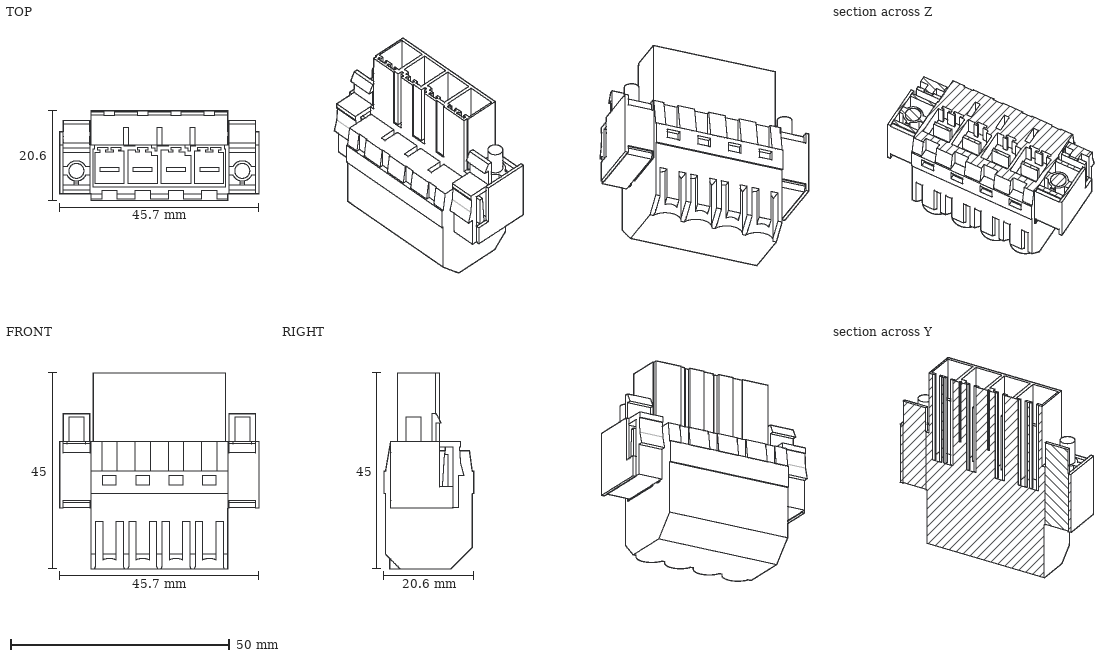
import cadquery as cq
POLE_PITCH = 7.65
POLE_X = [(i - 1.5) * POLE_PITCH for i in range(4)]

HOUSING_WIDTH = 31.45
BODY_HALF_DEPTH = 9.95
BAND_HALF_DEPTH = 20.6 / 2
BAND_BOTTOM = 17.35
SHELF_Z = 22.5
DECK_Z = 29.3
REAR_DECK_Z = 27.2
FRONT_TOP_Y = -8.8
REAR_TOP_Y = 9.33
SHROUD_BACK = 2.45
REAR_CHAMFER = 4.95
FRONT_CHAMFER = 3.45

FRONT_NOTCH_WIDTH = 3.5
FRONT_NOTCH_Y = -8.0
REAR_NOTCH_WIDTH = 2.4
REAR_NOTCH_Y = 9.15
WINDOW_WIDTH = 3.1
WINDOW_BOTTOM = 19.25
WINDOW_TOP = 21.45
WINDOW_DEPTH = 1.1
DECK_SLOT_WIDTH = 1.2
DECK_SLOT_BACK = 6.45

SLEEVE_RADIUS = 3.65
SLEEVE_Y = -5.35
FLUTE_TOP = 10.95
FLUTE_INNER = 1.5
FLUTE_OUTER = 3.2

SHROUD_HALF_WIDTH = 15.2
SHROUD_FRONT = -7.22
SHROUD_TOP = 45.0
CORNER_STEP = 0.27
CORNER_STEP_Y = 1.5
CAVITY_FRONT = -6.45
LIP_Y = 0.82
END_LEFT_BACK = 0.75
KEYWAY_FRONT = END_LEFT_BACK
KEYWAY_NECK_TOP = 1.33
KEYWAY_TOP = 1.85
KEYWAY_HEAD_WIDTH = 2.4
END_NECK_WIDTH = 1.25
END_KEYWAY_OFFSET = 1.5
END_CAVITY_LEFT = 3.3
END_CAVITY_RIGHT = 3.4
END_RIGHT_BACK = 1.0
MIDDLE_NECK_WIDTH = 1.35
MIDDLE_CAVITY_HALF_WIDTH = 3.45
LOW_CORNER_BACK = 0.05
LOW_CORNER_OFFSET = 2.0
DEEP_CORNER_OFFSET = 1.7
CODING_NOTCH_WIDTH = 1.3
CODING_NOTCH_Y = 1.7
CODING_LEG_WIDTH = 0.5
CODING_LEG_Y = 1.0
GROOVE_Y = 2.15
GROOVES = [(-8.1, -5.6), (-0.55, 2.1), (7.1, 8.28)]

CONTACT_WIDTH = 4.35
CONTACT_THICKNESS = 0.82
CONTACT_Y = -3.2
CONTACT_BOTTOM = 13.7
CONTACT_TOP = 36.58

EAR_OUTER_X = -22.85
EAR_WALL_INNER_X = -22.1
EAR_INNER_X = -15.95
EAR_CENTER_X = (EAR_WALL_INNER_X + EAR_INNER_X) / 2
EAR_BOTTOM = 14.0
EAR_FRONT = FRONT_TOP_Y
EAR_BACK = 5.5
EAR_FRONT_WALL_BACK = -7.85
EAR_LEDGE_Z = 18.95
EAR_FRONT_TOP = 26.7
EAR_FRONT_BOTTOM = 15.77
TIE_FRONT = 4.4

INSERT_BOTTOM = 14.15
INSERT_FRONT_TOP = 28.8
FOOT_FRONT = -8.45
FOOT_CHAMFER_Z = 15.3
FOOT_CHAMFER_Y = -7.75
POCKET_FRONT = -6.75
TAB_FRONT = 0.75
TAB_BACK = 1.7
TAB_TOP = 35.65
TAB_HOOK_Y = 2.85
TAB_HOOK_Z = 33.45
ARM_TOP_Y = 7.25
ARM_NECK_Y = 7.05
ARM_FOOT_Y = 6.75
ARM_HOOK_Y = 8.05
ARM_HOOK_Z = 21.45
ARM_HOOK_TOP = 24.32
TOP_PLATE_BOTTOM = 28.0
LEVER_TOP_Y = 3.75
LEVER_FOOT_Y = 3.1
LEVER_WIDTH = 2.2
RIB_TOP = 26.3
RIB_TOP_Y = 3.55
BOSS_RADIUS = 2.35
BRACE_WIDTH = 1.9
SPUR_WIDTH = 1.0
SPUR_STEP_Y = -6.25
SPUR_FRONT_TOP = 26.7
SPUR_REAR_TOP = 27.45

SCREW_RADIUS = 3.45 / 2
SCREW_Y = -3.5
SCREW_TOP = 34.9


def box(x0, x1, y0, y1, z0, z1):
    """Box between opposite corners."""
    return cq.Workplane("XY").box(x1 - x0, y1 - y0, z1 - z0, centered=False).translate((x0, y0, z0))


def side_profile(points, x0, x1):
    """Closed (y, z) outline extruded from x0 to x1."""
    return cq.Workplane("YZ").workplane(offset=x0).polyline(points).close().extrude(x1 - x0)


def post(x, y, radius, z0, z1):
    """Vertical cylinder."""
    return cq.Workplane("XY").workplane(offset=z0).center(x, y).circle(radius).extrude(z1 - z0)


def mirrored(body):
    return body.mirror("YZ")


def centered_box(x, width, y0, y1, z0, z1):
    return box(x - width / 2, x + width / 2, y0, y1, z0, z1)


def housing_block():
    """Body with bottom chamfers, a proud band and tapered upper walls."""
    outline = [
        (-BODY_HALF_DEPTH + FRONT_CHAMFER, 0),
        (BODY_HALF_DEPTH - REAR_CHAMFER, 0),
        (BODY_HALF_DEPTH, REAR_CHAMFER),
        (BODY_HALF_DEPTH, BAND_BOTTOM),
        (BAND_HALF_DEPTH, BAND_BOTTOM),
        (BAND_HALF_DEPTH, SHELF_Z),
        (BODY_HALF_DEPTH, SHELF_Z),
        (REAR_TOP_Y, REAR_DECK_Z),
        (SHROUD_BACK, REAR_DECK_Z),
        (SHROUD_BACK, DECK_Z),
        (FRONT_TOP_Y, DECK_Z),
        (-BODY_HALF_DEPTH, SHELF_Z),
        (-BAND_HALF_DEPTH, SHELF_Z),
        (-BAND_HALF_DEPTH, BAND_BOTTOM),
        (-BODY_HALF_DEPTH, BAND_BOTTOM),
        (-BODY_HALF_DEPTH, FRONT_CHAMFER),
    ]
    return side_profile(outline, -HOUSING_WIDTH / 2, HOUSING_WIDTH / 2)


def shroud():
    """Tall socket block with stepped back corners and shallow grooves on its back."""
    w = SHROUD_HALF_WIDTH
    block = box(-w, w, SHROUD_FRONT, SHROUD_BACK, DECK_Z, SHROUD_TOP)
    for x in (-w, w):
        block = block.cut(
            centered_box(x, 2 * CORNER_STEP, CORNER_STEP_Y, SHROUD_BACK, DECK_Z, SHROUD_TOP)
        )
    for x0, x1 in GROOVES:
        block = block.cut(box(x0, x1, GROOVE_Y, SHROUD_BACK, DECK_Z, SHROUD_TOP))
    return block


def sunk_box(x0, x1, y0, y1):
    """Rectangular pocket from the shroud top down to the shelf level."""
    return box(x0, x1, y0, y1, SHELF_Z, SHROUD_TOP)


def keyway(x, neck_width):
    """T-shaped keyway in a socket's back wall: a narrow neck and a wider head."""
    half_neck = neck_width / 2
    half_head = KEYWAY_HEAD_WIDTH / 2
    neck = sunk_box(x - half_neck, x + half_neck, KEYWAY_FRONT, KEYWAY_NECK_TOP)
    head = sunk_box(x - half_head, x + half_head, KEYWAY_NECK_TOP, KEYWAY_TOP)
    return neck.union(head)


def end_cavity():
    """Socket of the -X pole: two keyways and a back wall that steps back from left to right."""
    x = POLE_X[0]
    left = x - END_CAVITY_LEFT
    right = x + END_CAVITY_RIGHT
    cavity = sunk_box(left, right, CAVITY_FRONT, END_LEFT_BACK)
    cavity = cavity.union(sunk_box(x - END_KEYWAY_OFFSET, right, END_LEFT_BACK, LIP_Y))
    cavity = cavity.union(sunk_box(x + END_KEYWAY_OFFSET, right, LIP_Y, END_RIGHT_BACK))
    for offset in (-END_KEYWAY_OFFSET, END_KEYWAY_OFFSET):
        cavity = cavity.union(keyway(x + offset, END_NECK_WIDTH))
    return cavity


def middle_cavity(x):
    """Socket of an inner pole: one keyway, a deep left corner and a low right corner."""
    left = x - MIDDLE_CAVITY_HALF_WIDTH
    right = x + MIDDLE_CAVITY_HALF_WIDTH
    cavity = sunk_box(left, right, CAVITY_FRONT, LOW_CORNER_BACK)
    cavity = cavity.union(sunk_box(left, x + LOW_CORNER_OFFSET, LOW_CORNER_BACK, LIP_Y))
    cavity = cavity.union(sunk_box(left, x - DEEP_CORNER_OFFSET, LIP_Y, KEYWAY_NECK_TOP))
    return cavity.union(keyway(x, MIDDLE_NECK_WIDTH))


def back_notch(x):
    """L-shaped coding notch in the shroud's back, behind the low corner of an inner pole."""
    left = x + LOW_CORNER_OFFSET
    right = left + CODING_NOTCH_WIDTH
    notch = box(left, right, CODING_NOTCH_Y, SHROUD_BACK, DECK_Z, SHROUD_TOP)
    leg = box(right - CODING_LEG_WIDTH, right, CODING_LEG_Y, CODING_NOTCH_Y, DECK_Z, SHROUD_TOP)
    return notch.union(leg)


def sleeve_flutes(x):
    """Pair of slots in the front wall, cut back to the round sleeve."""
    flutes = box(x - FLUTE_OUTER, x - FLUTE_INNER, -BODY_HALF_DEPTH, SLEEVE_Y, 0, FLUTE_TOP)
    flutes = flutes.union(
        box(x + FLUTE_INNER, x + FLUTE_OUTER, -BODY_HALF_DEPTH, SLEEVE_Y, 0, FLUTE_TOP)
    )
    return flutes.cut(post(x, SLEEVE_Y, SLEEVE_RADIUS, 0, FLUTE_TOP))


def housing_ear():
    """Walls of the -X ear, which hold the latch insert."""
    outer_wall = side_profile(
        [
            (EAR_FRONT, EAR_BOTTOM),
            (EAR_BACK, EAR_BOTTOM),
            (EAR_BACK, EAR_LEDGE_Z),
            (SHROUD_BACK, EAR_LEDGE_Z),
            (SHROUD_BACK, DECK_Z),
            (EAR_FRONT, DECK_Z),
        ],
        EAR_OUTER_X,
        EAR_WALL_INNER_X,
    )
    front_wall = box(
        EAR_WALL_INNER_X, EAR_INNER_X, EAR_FRONT, EAR_FRONT_WALL_BACK, EAR_FRONT_BOTTOM, EAR_FRONT_TOP
    )
    body_side = -HOUSING_WIDTH / 2
    inner_wall = box(EAR_INNER_X, body_side, EAR_FRONT, SHROUD_BACK, EAR_BOTTOM, DECK_Z)
    tie = box(EAR_INNER_X, body_side, TIE_FRONT, EAR_BACK, EAR_BOTTOM, RIB_TOP)
    return outer_wall.union(front_wall).union(inner_wall).union(tie)


def contact(x):
    """Flat blade of one pole."""
    return centered_box(
        x, CONTACT_WIDTH,
        CONTACT_Y - CONTACT_THICKNESS / 2, CONTACT_Y + CONTACT_THICKNESS / 2,
        CONTACT_BOTTOM, CONTACT_TOP,
    )


def make_housing():
    body = housing_block().union(shroud())
    for x in POLE_X:
        body = body.cut(
            centered_box(x, FRONT_NOTCH_WIDTH, -BAND_HALF_DEPTH, FRONT_NOTCH_Y, SHELF_Z, DECK_Z)
        )
        body = body.cut(
            centered_box(x, REAR_NOTCH_WIDTH, REAR_NOTCH_Y, BAND_HALF_DEPTH, SHELF_Z, REAR_DECK_Z)
        )
        window_back = -BAND_HALF_DEPTH + WINDOW_DEPTH
        body = body.cut(
            centered_box(x, WINDOW_WIDTH, -BAND_HALF_DEPTH, window_back, WINDOW_BOTTOM, WINDOW_TOP)
        )
        body = body.union(post(x, SLEEVE_Y, SLEEVE_RADIUS, 0, FRONT_CHAMFER))
        body = body.cut(sleeve_flutes(x))
    for x in (-POLE_PITCH, 0, POLE_PITCH):
        body = body.cut(
            centered_box(x, DECK_SLOT_WIDTH, SHROUD_BACK, DECK_SLOT_BACK, SHELF_Z, REAR_DECK_Z)
        )
    body = body.cut(end_cavity()).cut(mirrored(end_cavity()))
    for x in POLE_X[1:3]:
        body = body.cut(middle_cavity(x)).cut(back_notch(x))
    for x in POLE_X:
        body = body.cut(contact(x))
    ear = housing_ear()
    return body.union(ear).union(mirrored(ear))


def make_screw():
    """Plain round screw of the -X ear."""
    return post(EAR_CENTER_X, SCREW_Y, SCREW_RADIUS, EAR_LEDGE_Z, SCREW_TOP)


def make_insert():
    """Latch insert of the -X ear: base, hooked tab, hooked arm and a boss for the screw."""
    insert = side_profile(
        [
            (EAR_FRONT_WALL_BACK, EAR_FRONT_BOTTOM),
            (FOOT_FRONT, EAR_FRONT_BOTTOM),
            (FOOT_FRONT, FOOT_CHAMFER_Z),
            (FOOT_CHAMFER_Y, INSERT_BOTTOM),
            (ARM_FOOT_Y, INSERT_BOTTOM),
            (ARM_FOOT_Y, ARM_HOOK_Z),
            (ARM_HOOK_Y, ARM_HOOK_Z),
            (ARM_TOP_Y, ARM_HOOK_TOP),
            (ARM_NECK_Y, TOP_PLATE_BOTTOM),
            (ARM_TOP_Y, TOP_PLATE_BOTTOM),
            (ARM_TOP_Y, DECK_Z),
            (TAB_BACK, DECK_Z),
            (TAB_BACK, TAB_HOOK_Z),
            (TAB_HOOK_Y, TAB_HOOK_Z),
            (TAB_BACK, TAB_TOP),
            (TAB_FRONT, TAB_TOP),
            (TAB_FRONT, INSERT_FRONT_TOP),
            (EAR_FRONT_WALL_BACK, INSERT_FRONT_TOP),
        ],
        EAR_WALL_INNER_X,
        EAR_INNER_X,
    )
    screw_pocket = box(
        EAR_WALL_INNER_X, EAR_INNER_X, POCKET_FRONT, TAB_FRONT, EAR_LEDGE_Z, INSERT_FRONT_TOP
    )
    arm_opening = box(
        EAR_WALL_INNER_X, EAR_INNER_X, TAB_BACK, EAR_BACK, EAR_LEDGE_Z, TOP_PLATE_BOTTOM
    )
    insert = insert.cut(screw_pocket).cut(arm_opening)

    lever = side_profile(
        [
            (LEVER_FOOT_Y, EAR_LEDGE_Z),
            (EAR_BACK, EAR_LEDGE_Z),
            (EAR_BACK, TOP_PLATE_BOTTOM),
            (LEVER_TOP_Y, TOP_PLATE_BOTTOM),
        ],
        EAR_CENTER_X - LEVER_WIDTH / 2,
        EAR_CENTER_X + LEVER_WIDTH / 2,
    )
    rib = side_profile(
        [
            (LEVER_FOOT_Y, EAR_LEDGE_Z),
            (TIE_FRONT, EAR_LEDGE_Z),
            (TIE_FRONT, RIB_TOP),
            (RIB_TOP_Y, RIB_TOP),
        ],
        EAR_WALL_INNER_X,
        EAR_INNER_X,
    )

    boss = post(EAR_CENTER_X, SCREW_Y, BOSS_RADIUS, EAR_LEDGE_Z, DECK_Z)
    brace = box(
        EAR_WALL_INNER_X, EAR_INNER_X,
        SCREW_Y - BRACE_WIDTH / 2, SCREW_Y + BRACE_WIDTH / 2,
        EAR_LEDGE_Z, DECK_Z,
    )
    spur = centered_box(EAR_CENTER_X, SPUR_WIDTH, POCKET_FRONT, SPUR_STEP_Y, EAR_LEDGE_Z, SPUR_FRONT_TOP)
    spur = spur.union(
        centered_box(EAR_CENTER_X, SPUR_WIDTH, SPUR_STEP_Y, SCREW_Y, EAR_LEDGE_Z, SPUR_REAR_TOP)
    )
    insert = insert.union(lever).union(rib).union(boss).union(brace).union(spur)
    return insert.cut(make_screw())


def both_ends(body):
    return [body, mirrored(body)]


housing = make_housing()
contacts = [contact(x) for x in POLE_X]
inserts = both_ends(make_insert())
screws = both_ends(make_screw())

bodies = [housing, *contacts, *inserts, *screws]
result = cq.Compound.makeCompound([body.solids().val() for body in bodies])